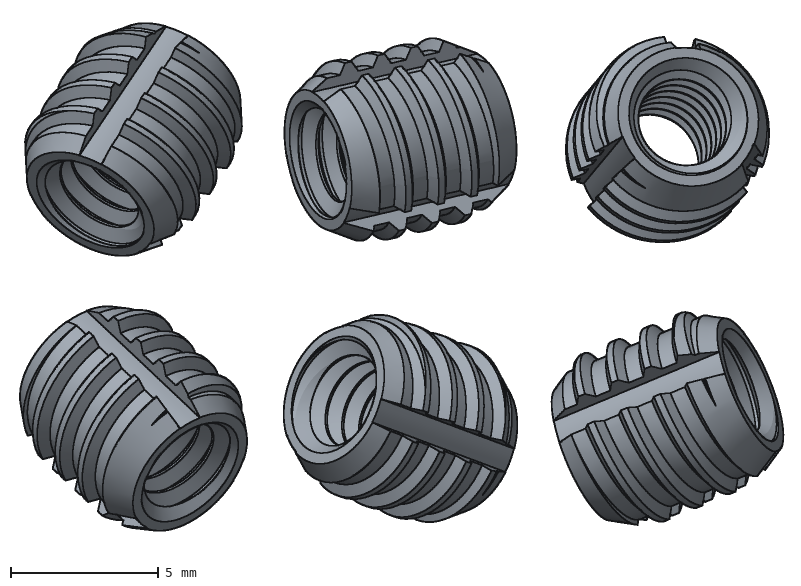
import cadquery as cq
import math

length = 6.35
half_length = length / 2
overrun = 0.13

crest_radius = 3.175
barrel_radius = 2.795
end_radius = 2.445
end_cone_angle = math.radians(30)
outer_pitch = 1.27
outer_crest_width = 0.255
outer_base_width = 0.71
outer_thread_position = -0.095

bore_radius = 1.57
mouth_radius = 2.065
inner_pitch = 0.795
groove_root_radius = 2.065
groove_root_width = 0.13
groove_open_width = 0.7
groove_overrun = 0.03
groove_position = -2.37

slot_count = 3
slot_angle = 20.0
slot_floor_radius = 2.425
first_slot_angle = -90.0


def round_bar(radius):
    """Plain cylinder as long as the insert."""
    return cq.Workplane("XY", origin=(0, 0, -half_length)).circle(radius).extrude(length)


def helical_bar(pitch, position, base_radius, base_width, tip_radius, tip_width):
    """Right-handed trapezoidal bar that runs past both ends, one set of faces per turn."""
    start_turns = math.ceil((half_length + position + base_width) / pitch)
    start = position - start_turns * pitch
    turns = math.ceil((half_length + base_width - start) / pitch)
    corners = [
        (base_radius, -base_width / 2),
        (tip_radius, -tip_width / 2),
        (tip_radius, tip_width / 2),
        (base_radius, base_width / 2),
    ]
    edges = [
        cq.Wire.makeHelix(pitch, pitch, radius, cq.Vector(0, 0, offset)).Edges()[0]
        for radius, offset in corners
    ]
    sides = [cq.Face.makeRuledSurface(edges[i - 1], edges[i]) for i in range(len(edges))]
    faces = []
    for turn in range(turns):
        lift = cq.Vector(0, 0, start + turn * pitch)
        faces += [side.translate(lift) for side in sides]
    for height in (start, start + turns * pitch):
        points = [cq.Vector(radius, 0, height + offset) for radius, offset in corners]
        faces.append(cq.Face.makeFromWires(cq.Wire.makePolygon(points, close=True)))
    return cq.Workplane(obj=cq.Solid.makeSolid(cq.Shell.makeShell(faces)))


def extend_to(radius, tip_radius, tip_width, base_radius, base_width):
    """Width of a trapezoid's straight flanks continued to another radius."""
    slope = (base_width - tip_width) / (base_radius - tip_radius)
    return tip_width + slope * (radius - tip_radius)


def coned_blank():
    """Cylinder of the crest radius, tapering to the end radius at both ends."""
    cone_length = (crest_radius - end_radius) / math.tan(end_cone_angle)
    shoulder = half_length - cone_length
    return (
        cq.Workplane("XZ")
        .moveTo(0, -half_length)
        .lineTo(end_radius, -half_length)
        .lineTo(crest_radius, -shoulder)
        .lineTo(crest_radius, shoulder)
        .lineTo(end_radius, half_length)
        .lineTo(0, half_length)
        .close()
        .revolve(360, (0, 0), (0, 1))
    )


def outer_groove():
    """Space between the outer thread's turns, with the barrel surface as its floor."""
    floor_width = outer_pitch - outer_base_width
    open_radius = crest_radius + overrun
    open_width = extend_to(
        open_radius, barrel_radius, floor_width, crest_radius, outer_pitch - outer_crest_width
    )
    position = outer_thread_position + outer_pitch / 2
    return helical_bar(outer_pitch, position, open_radius, open_width, barrel_radius, floor_width)


def bore_cutter():
    mouth_depth = mouth_radius - bore_radius
    return (
        cq.Workplane("XZ")
        .moveTo(0, -half_length)
        .lineTo(mouth_radius, -half_length)
        .lineTo(bore_radius, -half_length + mouth_depth)
        .lineTo(bore_radius, half_length - mouth_depth)
        .lineTo(mouth_radius, half_length)
        .lineTo(0, half_length)
        .close()
        .revolve(360, (0, 0), (0, 1))
    )


def inner_groove():
    open_radius = bore_radius - groove_overrun
    open_width = extend_to(
        open_radius, groove_root_radius, groove_root_width, bore_radius, groove_open_width
    )
    return helical_bar(
        inner_pitch, groove_position, open_radius, open_width, groove_root_radius, groove_root_width
    )


def slot_cutter(angle):
    reach = crest_radius + overrun
    half_width = reach * math.tan(math.radians(slot_angle / 2))
    wedge = (
        cq.Workplane("XY", origin=(0, 0, -half_length))
        .polyline([(0, 0), (reach, -half_width), (reach, half_width)])
        .close()
        .extrude(length)
    )
    return wedge.cut(round_bar(slot_floor_radius)).rotate((0, 0, 0), (0, 0, 1), angle)


insert = coned_blank().cut(outer_groove()).cut(bore_cutter()).cut(inner_groove())
for index in range(slot_count):
    insert = insert.cut(slot_cutter(first_slot_angle + index * 360 / slot_count))

result = insert.rotate((0, 0, 0), (1, 0, 0), -90)